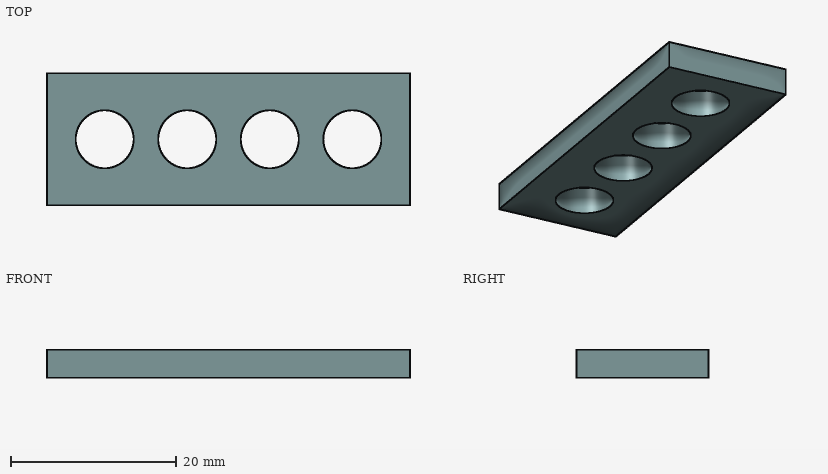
import cadquery as cq

plate_length = 44.0
plate_width = 16.0
plate_thickness = 3.4

hole_count = 4
hole_pitch = 10.0
hole_diameter = 7.0


def make_plate():
    """Flat rectangular plate, centred in X and Y, with its underside at Z = 0."""
    return cq.Workplane("XY").box(
        plate_length, plate_width, plate_thickness, centered=(True, True, False)
    )


def drill_hole_row(plate):
    """Drill the evenly spaced row of holes through the full thickness."""
    return (
        plate.faces(">Z")
        .workplane(centerOption="CenterOfBoundBox")
        .rarray(hole_pitch, plate_width, hole_count, 1)
        .hole(hole_diameter)
    )


result = drill_hole_row(make_plate())